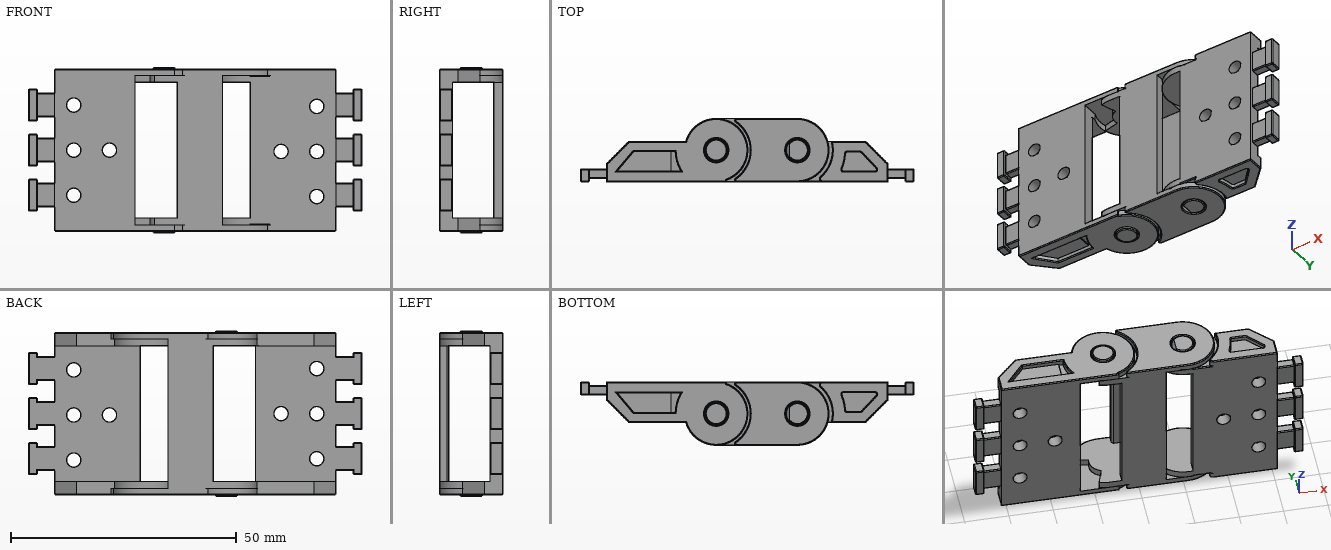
import cadquery as cq
import math

LENGTH = 73.9
DEPTH = 14.0
WIDTH = 36.6

BOTTOM = -DEPTH / 2
TOP = DEPTH / 2
KNUCKLE_R = DEPTH / 2
EDGE = 0.2

INNER_Z = 15.0
JOINT_Z = 16.55
OUTER_Z = 17.95
PIN_Z = WIDTH / 2

LEFT_PIVOT = -6.9
RIGHT_PIVOT = 11.1
PIN_R = 2.45
PIN_HOLE_R = 2.6
HUB_R = 3.2
TONGUE_RECESS_R = 7.1

LINK_END = 31.1
ARM_TOP = 1.9
ARM_CHAMFER = 4.9
PLATE_TOP = -4.1
LEFT_PLATE_END = -13.3
RIGHT_PLATE_END = 12.1
LEFT_EAR_TOE = -4.6
RIGHT_SCALLOP_R = 7.75
RIGHT_TIP_FILLET = 0.7

LUG_PITCH = 10.0
HEAD_LENGTH = 2.0
HEAD_WIDTH = 7.1
NECK_WIDTH = 5.3
NECK_DEPTH = 2.15
HOLE_D = 3.1
HOLE_ROW_INSET = 4.2
HOLE_MID_INSET = 12.1
RIGHT_HOLE_SHIFT = -0.3

WEB_START = -4.0
WEB_END = 6.05
WEB_THICKNESS = 2.1
WEB_CHAMFER = 0.45
MIDDLE_SCALLOP_R = 7.5
MIDDLE_TIP_FILLET = 0.45
STOP_NOTCH_X = 4.1
SECTOR_START = 167.0
SECTOR_END = 252.0

POCKET_DEPTH = 1.1
LEFT_POCKET_R = 9.1
LEFT_POCKET_TOP = -0.3
LEFT_POCKET_BOTTOM = -4.6
LEFT_POCKET_STEP_X = -16.9
LEFT_POCKET_STEP = 0.3
RIGHT_POCKET_R = 10.7
RIGHT_POCKET_TOP = -0.45
RIGHT_POCKET_BOTTOM = -4.65
RIGHT_POCKET_CORNER = 0.4

RAMP_WIDTH = 0.75
RAMP_DROP = 1.0


def block(x0, x1, y0, y1, z0, z1):
    """Box between opposite corners."""
    return cq.Workplane("XY").box(x1 - x0, y1 - y0, z1 - z0, centered=False).translate((x0, y0, z0))


def cylinder(x, radius, z0, z1):
    """Cylinder about a pivot axis."""
    return cq.Workplane("XY", origin=(x, 0, z0)).circle(radius).extrude(z1 - z0)


def prism(points, z0, z1):
    """Polygon in the XY plane carried from z0 to z1."""
    return cq.Workplane("XY", origin=(0, 0, z0)).polyline(points).close().extrude(z1 - z0)


def both_sides(half):
    """A +Z feature together with its mirror image."""
    return half.union(half.mirror("XY"))


def ease_outer_face(side):
    """Chamfer every edge of the outer face of a +Z side."""
    return side.faces(">Z").edges().chamfer(EDGE)


def arc_point(x, radius, y, direction):
    """Point at height y on a circle about a pivot, on its -X or +X side."""
    return (x + direction * math.sqrt(radius**2 - y**2), y)


def arm(end, inner, z0, z1):
    """Arm of an end link, from x = inner to the chamfered end face at x = end."""
    slope_start = end - math.copysign(ARM_CHAMFER, end)
    points = [(inner, BOTTOM), (end, BOTTOM), (end, ARM_TOP - ARM_CHAMFER), (slope_start, ARM_TOP), (inner, ARM_TOP)]
    return prism(points, z0, z1)


def lugs(direction):
    """Three T-shaped lugs on the end face pointing along -X or +X."""
    tip = LENGTH / 2
    head_start = tip - HEAD_LENGTH
    head = block(head_start, tip, BOTTOM, PLATE_TOP, -HEAD_WIDTH / 2, HEAD_WIDTH / 2)
    head = head.edges().chamfer(EDGE)
    neck = block(LINK_END - 0.75, head_start + EDGE, PLATE_TOP - NECK_DEPTH, PLATE_TOP, -NECK_WIDTH / 2, NECK_WIDTH / 2)
    neck = neck.edges("|X").chamfer(EDGE)
    lug = head.union(neck)
    if direction < 0:
        lug = lug.mirror("YZ")
    row = lug
    for step in (-1, 1):
        row = row.union(lug.translate((0, 0, step * LUG_PITCH)))
    return row


def plate_holes(direction, shift):
    """Holes through an end plate: a row of three and one nearer the pivot."""
    row_x = direction * (LINK_END - HOLE_ROW_INSET)
    middle_x = direction * (LINK_END - HOLE_MID_INSET)
    places = [(row_x, shift + step * LUG_PITCH) for step in (-1, 0, 1)]
    places.append((middle_x, shift))
    plane = cq.Workplane("XZ", origin=(0, PLATE_TOP + 0.75, 0))
    return plane.pushPoints(places).circle(HOLE_D / 2).extrude(PLATE_TOP + 0.75 - BOTTOM + 0.75)


def left_pocket():
    floor = OUTER_Z - POCKET_DEPTH
    outline = (
        cq.Workplane("XY", origin=(0, 0, floor))
        .moveTo(-28.7, LEFT_POCKET_BOTTOM)
        .lineTo(-25.1, LEFT_POCKET_TOP)
        .lineTo(*arc_point(LEFT_PIVOT, LEFT_POCKET_R, LEFT_POCKET_TOP, -1))
        .threePointArc(
            arc_point(LEFT_PIVOT, LEFT_POCKET_R, LEFT_POCKET_BOTTOM / 2, -1),
            arc_point(LEFT_PIVOT, LEFT_POCKET_R, LEFT_POCKET_BOTTOM, -1),
        )
        .close()
    )
    pocket = outline.extrude(POCKET_DEPTH)
    lower = pocket.translate((0, 0, -LEFT_POCKET_STEP))
    lower = lower.intersect(block(LEFT_POCKET_STEP_X, 0, BOTTOM, TOP, 0, OUTER_Z))
    return pocket.union(lower)


def left_side():
    side = arm(-LINK_END, LEFT_PIVOT, INNER_Z, OUTER_Z)
    side = side.union(cylinder(LEFT_PIVOT, KNUCKLE_R, JOINT_Z, OUTER_Z))
    side = side.union(block(LEFT_PIVOT, LEFT_EAR_TOE, BOTTOM, 0, JOINT_Z, OUTER_Z))
    side = side.cut(block(LEFT_PLATE_END, 0, BOTTOM, TOP, INNER_Z, JOINT_Z))
    side = side.cut(cylinder(LEFT_PIVOT, TONGUE_RECESS_R, INNER_Z, JOINT_Z))
    side = side.cut(cylinder(LEFT_PIVOT, PIN_HOLE_R, INNER_Z, OUTER_Z))
    return ease_outer_face(side.cut(left_pocket()))


def build_left_link():
    plate = block(-LINK_END, LEFT_PLATE_END, BOTTOM, PLATE_TOP, -INNER_Z, INNER_Z)
    link = plate.union(both_sides(left_side()))
    return link.cut(plate_holes(-1, 0)).union(lugs(-1))


def stop_sector():
    """Wedge between the two stop faces of the left tongue, outside its hub."""
    reach = 2 * KNUCKLE_R
    points = [(LEFT_PIVOT, 0)]
    for angle in (SECTOR_START, (SECTOR_START + SECTOR_END) / 2, SECTOR_END):
        turn = math.radians(angle)
        points.append((LEFT_PIVOT + reach * math.cos(turn), reach * math.sin(turn)))
    return prism(points, INNER_Z, JOINT_Z).cut(cylinder(LEFT_PIVOT, HUB_R, INNER_Z, JOINT_Z))


def middle_tongue():
    """Left knuckle and the thick part of the side, cleared for the right tongue."""
    tongue = block(LEFT_PIVOT, WEB_END, BOTTOM, TOP, INNER_Z, JOINT_Z)
    tongue = tongue.cut(cylinder(RIGHT_PIVOT, TONGUE_RECESS_R, INNER_Z, JOINT_Z))
    tongue = tongue.cut(block(STOP_NOTCH_X, WEB_END, 0, TOP - WEB_THICKNESS, INNER_Z, JOINT_Z))
    return tongue.union(cylinder(LEFT_PIVOT, KNUCKLE_R, INNER_Z, JOINT_Z)).cut(stop_sector())


def middle_ear():
    """Outer layer: right knuckle, and a scallop around the left ear."""
    ear = block(LEFT_PIVOT, RIGHT_PIVOT, BOTTOM, TOP, JOINT_Z, OUTER_Z)
    ear = ear.cut(cylinder(LEFT_PIVOT, MIDDLE_SCALLOP_R, JOINT_Z, OUTER_Z))
    ear = ear.edges("|Z and (<X)").fillet(MIDDLE_TIP_FILLET)
    ear = ear.union(cylinder(RIGHT_PIVOT, KNUCKLE_R, JOINT_Z, OUTER_Z))
    ear = ear.cut(cylinder(RIGHT_PIVOT, PIN_HOLE_R, JOINT_Z, OUTER_Z))
    return ease_outer_face(ear)


def build_middle_link():
    pin = cylinder(LEFT_PIVOT, PIN_R, JOINT_Z, PIN_Z)
    side = middle_tongue().union(middle_ear()).union(ease_outer_face(pin))
    lower_web = block(WEB_START, WEB_END, BOTTOM, BOTTOM + WEB_THICKNESS, -INNER_Z, INNER_Z)
    upper_web = block(WEB_START, WEB_END, TOP - WEB_THICKNESS, TOP, -INNER_Z, INNER_Z)
    upper_web = upper_web.edges("<X and <Y").chamfer(WEB_CHAMFER)
    return both_sides(side).union(lower_web).union(upper_web)


def right_pocket():
    floor = OUTER_Z - POCKET_DEPTH
    pocket = (
        cq.Workplane("XY", origin=(0, 0, floor))
        .moveTo(29.1, RIGHT_POCKET_BOTTOM)
        .lineTo(25.1, RIGHT_POCKET_TOP)
        .lineTo(*arc_point(RIGHT_PIVOT, RIGHT_POCKET_R, RIGHT_POCKET_TOP, 1))
        .threePointArc(
            arc_point(RIGHT_PIVOT, RIGHT_POCKET_R, RIGHT_POCKET_BOTTOM / 2, 1),
            arc_point(RIGHT_PIVOT, RIGHT_POCKET_R, RIGHT_POCKET_BOTTOM, 1),
        )
        .close()
        .extrude(POCKET_DEPTH)
    )
    return pocket.edges("|Z").fillet(RIGHT_POCKET_CORNER)


def right_arm_block():
    """Outer layer of the arm, scalloped around the middle link's ear."""
    outer = arm(LINK_END, RIGHT_PIVOT, JOINT_Z, OUTER_Z)
    outer = outer.cut(cylinder(RIGHT_PIVOT, RIGHT_SCALLOP_R, JOINT_Z, OUTER_Z))
    outer = outer.edges("|Z and (<X)").fillet(RIGHT_TIP_FILLET)
    return outer


def snap_pin():
    """Flush pin with a ramp on its -X side."""
    pin = ease_outer_face(cylinder(RIGHT_PIVOT, PIN_R, JOINT_Z, OUTER_Z))
    left = RIGHT_PIVOT - PIN_R
    ramp = (
        cq.Workplane("XZ", origin=(0, PIN_R, 0))
        .polyline([(left, OUTER_Z), (left + RAMP_WIDTH, OUTER_Z), (left, OUTER_Z - RAMP_DROP)])
        .close()
        .extrude(2 * PIN_R)
    )
    return pin.cut(ramp)


def right_side():
    tongue = arm(LINK_END, RIGHT_PIVOT, INNER_Z, JOINT_Z)
    tongue = tongue.union(cylinder(RIGHT_PIVOT, KNUCKLE_R, INNER_Z, JOINT_Z))
    outer = ease_outer_face(right_arm_block().cut(right_pocket()))
    return tongue.union(outer).union(snap_pin())


def ledge_chamfer():
    """Wedge along the lower edge of the ledge under the middle link's ear."""
    ledge_end = RIGHT_PIVOT + math.sqrt(RIGHT_SCALLOP_R**2 - KNUCKLE_R**2) + 3 * RIGHT_TIP_FILLET
    return (
        cq.Workplane("YZ", origin=(RIGHT_PLATE_END, 0, 0))
        .polyline([(BOTTOM, JOINT_Z), (BOTTOM + EDGE, JOINT_Z), (BOTTOM, JOINT_Z - EDGE)])
        .close()
        .extrude(ledge_end - RIGHT_PLATE_END)
    )


def build_right_link():
    plate = block(RIGHT_PLATE_END, LINK_END, BOTTOM, PLATE_TOP, -INNER_Z, INNER_Z)
    link = plate.union(both_sides(right_side().cut(ledge_chamfer())))
    return link.cut(plate_holes(1, RIGHT_HOLE_SHIFT)).union(lugs(1))


left_link = build_left_link()
middle_link = build_middle_link()
right_link = build_right_link()

result = cq.Compound.makeCompound([left_link.val(), middle_link.val(), right_link.val()])